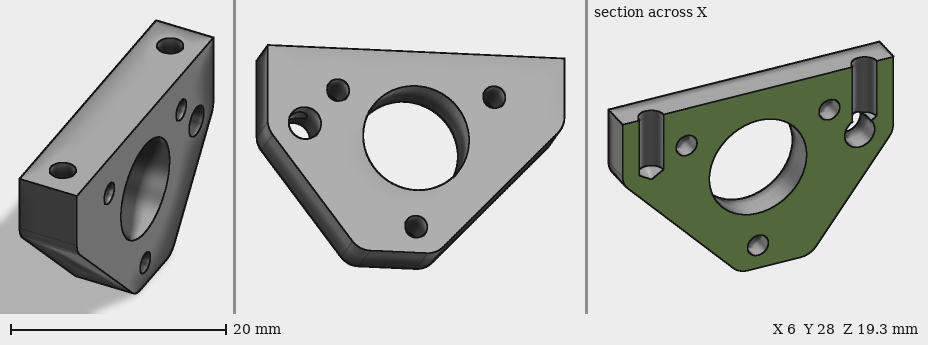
import cadquery as cq
import math

thickness = 6.0
width = 28.0
height = 19.3
corner_radius = 2.1

left_side_depth = 8.0
right_side_depth = 6.52
foot_left = 5.4
foot_right = -1.93

bore_diameter = 10.0
bore_depth = 8.3
screw_diameter = 2.1
screw_circle_radius = 8.5
screw_angles = (30, 150, 270)

side_hole_diameter = 3.05
side_hole_y = 10.5
side_hole_depth = 7.35

top_hole_diameter = 2.45
top_hole_y = 11.0
top_hole_depth = 6.0
drill_point_angle = 118.0


def plate():
    outline = [
        (width / 2, 0),
        (width / 2, -left_side_depth),
        (foot_left, -height),
        (foot_right, -height),
        (-width / 2, -right_side_depth),
        (-width / 2, 0),
    ]
    body = cq.Workplane("YZ", origin=(-thickness / 2, 0, 0)).polyline(outline).close().extrude(thickness)
    return body.edges("|X").edges("not >Z").fillet(corner_radius)


def cross_hole(diameter, y, z):
    return (
        cq.Workplane("YZ", origin=(-thickness / 2, 0, 0))
        .center(y, z)
        .circle(diameter / 2)
        .extrude(thickness)
    )


def top_hole(y):
    radius = top_hole_diameter / 2
    point_depth = radius / math.tan(math.radians(drill_point_angle / 2))
    profile = [
        (0, 0),
        (radius, 0),
        (radius, -top_hole_depth),
        (0, -top_hole_depth - point_depth),
    ]
    drill = cq.Workplane("XZ").polyline(profile).close().revolve(360, (0, 0), (0, 1))
    return drill.translate((0, y, 0))


result = plate()
result = result.cut(cross_hole(bore_diameter, 0, -bore_depth))

for angle in screw_angles:
    screw_y = screw_circle_radius * math.cos(math.radians(angle))
    screw_z = screw_circle_radius * math.sin(math.radians(angle)) - bore_depth
    result = result.cut(cross_hole(screw_diameter, screw_y, screw_z))

result = result.cut(cross_hole(side_hole_diameter, side_hole_y, -side_hole_depth))

for side in (1, -1):
    result = result.cut(top_hole(side * top_hole_y))